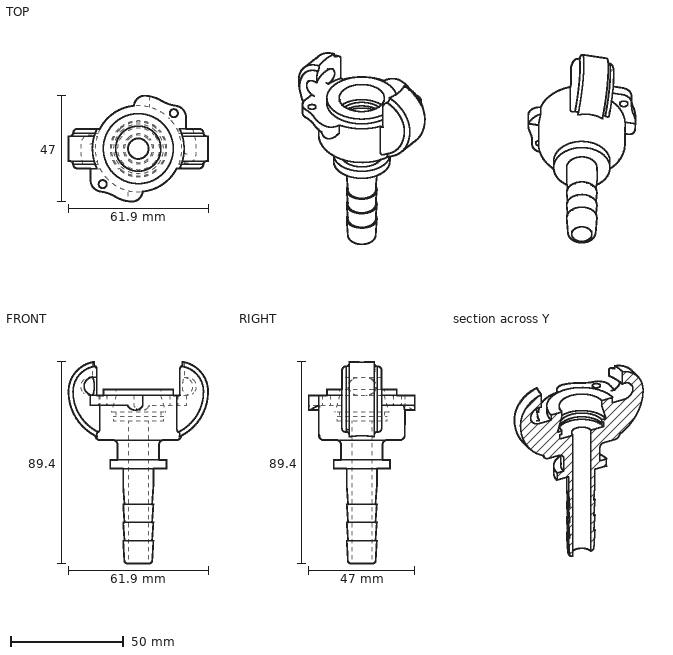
import cadquery as cq
import math

deck_z = 74.45
body_bottom_z = deck_z - 19.85
collar_top_z = 45.95
collar_bottom_z = 42.05
barb_start_z = 34.2
seal_height = 2.65

body_radius = 19.15
body_edge_fillet = 2.4
neck_radius = 18.5 / 2
neck_flare_radius = 2.0
neck_flare_width = 1.5
collar_radius = 25.0 / 2
tail_radius = 13.5 / 2
seal_radius = 31.0 / 2

barb_count = 4
barb_pitch = 8.0
barb_root_radius = 12.3 / 2
tail_end_fillet = 1.5

bore_radius = 9.0 / 2
mouth_radius = 20.0 / 2
flare_radius = 12.0
lower_groove_radius = 22.0 / 2
mouth_depth = 3.1
flare_depth = 9.9
lower_groove_depth = 11.85
socket_depth = 13.8

claw_reach = 61.89 / 2
claw_center_z = 76.1
claw_upper_radius = 13.4
claw_lower_radius = 22.0
claw_half_width = 8.8
claw_band_half_width = 5.55
claw_step = 2.05
claw_edge_fillet = 2.0
claw_step_fillet = 1.35
claw_upper_sweep = 90.0
claw_lower_sweep = 67.0
claw_gap_radius = 20.3

pocket_radius = 4.05
pocket_path_radius = 21.5
pocket_inner_radius = 19.0
pocket_end_y = 2.2
pocket_sweep = 45.0

lug_thickness = 4.35
lug_hole_radius = 3.5 / 2
lug_hole_position = (15.75, 15.7)
lug_side_x = 21.2
tip_radius = 5.0
tip_reach = 47.0 / 2
tip_center = (3.0, tip_reach - tip_radius)
tip_start_y = 19.0
tip_end_x = 3.9
shoulder_middle = (7.0, 22.75)
shoulder_end = (9.8, 21.5)
hollow_middle = (13.2, 19.85)
ear_start = (16.8, 19.0)
ear_middle = (19.7, 17.5)
ear_end_y = 13.9
tip_stop_depth = 6.55
tip_stop_left_x = -2.05
tip_stop_right_x = 4.75


def both_sides(shape):
    """The shape together with its copy turned half a turn about Z."""
    return shape.union(shape.rotate((0, 0, 0), (0, 0, 1), 180))


def disc(radius, bottom_z, top_z):
    return cq.Workplane("XY").workplane(offset=bottom_z).circle(radius).extrude(top_z - bottom_z)


def make_body():
    body = disc(body_radius, body_bottom_z, deck_z)
    return body.faces("<Z").edges().fillet(body_edge_fillet)


def make_tail():
    """Neck, collar and barbed hose tail."""
    flare_drop = math.sqrt(neck_flare_radius**2 - (neck_flare_radius - neck_flare_width) ** 2)
    flare_bottom_z = body_bottom_z - flare_drop
    half_angle = math.acos(1 - neck_flare_width / neck_flare_radius) / 2
    flare_middle = (
        neck_radius + neck_flare_radius * (1 - math.cos(half_angle)),
        flare_bottom_z + neck_flare_radius * math.sin(half_angle),
    )
    outline = (
        cq.Workplane("XZ")
        .moveTo(0, deck_z)
        .lineTo(neck_radius + neck_flare_width, deck_z)
        .lineTo(neck_radius + neck_flare_width, body_bottom_z)
        .threePointArc(flare_middle, (neck_radius, flare_bottom_z))
        .lineTo(neck_radius, collar_top_z)
        .lineTo(collar_radius, collar_top_z)
        .lineTo(collar_radius, collar_bottom_z)
        .lineTo(tail_radius, collar_bottom_z)
        .lineTo(tail_radius, barb_start_z)
    )
    for barb in range(1, barb_count):
        barb_z = barb_start_z - barb * barb_pitch
        outline = outline.lineTo(barb_root_radius, barb_z).lineTo(tail_radius, barb_z)
    outline = outline.lineTo(barb_root_radius, 0).lineTo(0, 0).close()
    tail = outline.revolve(360, (0, 0, 0), (0, 1, 0))
    return tail.faces("<Z").edges().fillet(tail_end_fillet)


def claw_sector(radius, sweep):
    """Part of a claw swept about an axis parallel to Y; a negative sweep goes down."""
    axis_x = -claw_reach + radius
    side_x = -claw_reach + claw_step
    bend = 1 - math.sqrt(0.5)

    edge_y = claw_half_width - claw_edge_fillet
    edge_x = side_x + claw_edge_fillet
    edge_mid = (side_x + bend * claw_edge_fillet, claw_half_width - bend * claw_edge_fillet)

    step_y = claw_band_half_width + claw_step_fillet
    step_x = side_x - claw_step_fillet
    step_mid = (side_x - bend * claw_step_fillet, claw_band_half_width + bend * claw_step_fillet)

    section = (
        cq.Workplane("XY")
        .workplane(offset=claw_center_z)
        .moveTo(axis_x, 0)
        .lineTo(axis_x, claw_half_width)
        .lineTo(edge_x, claw_half_width)
        .threePointArc(edge_mid, (side_x, edge_y))
        .lineTo(side_x, step_y)
        .threePointArc(step_mid, (step_x, claw_band_half_width))
        .lineTo(-claw_reach, claw_band_half_width)
        .lineTo(-claw_reach, 0)
        .close()
    )
    direction = math.copysign(1, sweep)
    half = section.revolve(abs(sweep), (axis_x, 0, 0), (axis_x, direction, 0))
    return half.union(half.mirror("XZ"))


def make_claw():
    claw = claw_sector(claw_upper_radius, claw_upper_sweep)
    return claw.union(claw_sector(claw_lower_radius, -claw_lower_sweep))


def pocket_section(inner_x):
    """Channel section in the XZ plane: straight from inner_x to the path, then a half circle."""
    top_z = deck_z + 2 * pocket_radius
    outer_point = (-pocket_path_radius - pocket_radius, deck_z + pocket_radius)
    section = cq.Workplane("XZ").moveTo(-pocket_path_radius, deck_z)
    section = section.threePointArc(outer_point, (-pocket_path_radius, top_z))
    if inner_x > -pocket_path_radius:
        section = section.lineTo(inner_x, top_z).lineTo(inner_x, deck_z)
    return section.close()


def make_pocket():
    """Curved channel, open at the -Y side of the -X claw and towards the middle, with a round end."""
    path_x = -pocket_path_radius
    channel = pocket_section(-pocket_inner_radius).revolve(pocket_sweep, (0, 0, 0), (0, 1, 0))
    half_ball = pocket_section(path_x).revolve(180, (path_x, 0, 0), (path_x, -1, 0))
    end_angle = math.degrees(math.asin(pocket_end_y / pocket_path_radius))
    return channel.union(half_ball).rotate((0, 0, 0), (0, 0, 1), -end_angle)


def lug_prism(depth):
    """Outline of the +Y lug, extruded from the deck downwards."""
    tip_x, tip_y = tip_center
    tip_start_x = tip_x - math.sqrt(tip_radius**2 - (tip_start_y - tip_y) ** 2)
    tip_end_y = tip_y + math.sqrt(tip_radius**2 - (tip_end_x - tip_x) ** 2)
    tip_mid = (tip_x - tip_radius * math.sqrt(0.5), tip_y + tip_radius * math.sqrt(0.5))
    return (
        cq.Workplane("XY")
        .workplane(offset=deck_z - depth)
        .moveTo(0, 0)
        .lineTo(tip_start_x, tip_start_y)
        .threePointArc(tip_mid, (tip_end_x, tip_end_y))
        .threePointArc(shoulder_middle, shoulder_end)
        .threePointArc(hollow_middle, ear_start)
        .threePointArc(ear_middle, (lug_side_x, ear_end_y))
        .lineTo(lug_side_x, 0)
        .close()
        .extrude(depth)
    )


def make_lug():
    """Ear with a hole and a thicker, round-bottomed stop at its tip."""
    lug_bottom_z = deck_z - lug_thickness
    stop_middle_x = (tip_stop_left_x + tip_stop_right_x) / 2
    stop_bar = (
        cq.Workplane("XZ")
        .moveTo(tip_stop_left_x, deck_z)
        .lineTo(tip_stop_left_x, lug_bottom_z)
        .threePointArc((stop_middle_x, deck_z - tip_stop_depth), (tip_stop_right_x, lug_bottom_z))
        .lineTo(tip_stop_right_x, deck_z)
        .close()
        .extrude(-tip_reach)
    )
    return lug_prism(lug_thickness).union(lug_prism(tip_stop_depth).intersect(stop_bar))


def lug_hole():
    hole = disc(lug_hole_radius, deck_z - lug_thickness, deck_z)
    return hole.translate((*lug_hole_position, 0))


def make_bore():
    """Through bore with the flared and undercut socket that starts at the seal."""
    seal_top_z = deck_z + seal_height
    bore = disc(bore_radius, 0, seal_top_z)
    bore = bore.union(disc(mouth_radius, seal_top_z - socket_depth, seal_top_z))
    flare = (
        cq.Workplane("XZ")
        .moveTo(0, seal_top_z - mouth_depth)
        .lineTo(mouth_radius, seal_top_z - mouth_depth)
        .lineTo(flare_radius, seal_top_z - flare_depth)
        .lineTo(0, seal_top_z - flare_depth)
        .close()
        .revolve(360, (0, 0, 0), (0, 1, 0))
    )
    bore = bore.union(flare)
    return bore.union(disc(lower_groove_radius, seal_top_z - socket_depth, seal_top_z - lower_groove_depth))


claw_gap = disc(claw_gap_radius, deck_z, claw_center_z + claw_upper_radius)
seal = disc(seal_radius, deck_z, deck_z + seal_height)

result = make_body().union(make_tail()).union(both_sides(make_claw()))
result = result.union(both_sides(make_lug())).cut(claw_gap)
result = result.cut(both_sides(make_pocket()))
result = result.cut(both_sides(lug_hole()))
result = result.union(seal).cut(make_bore())